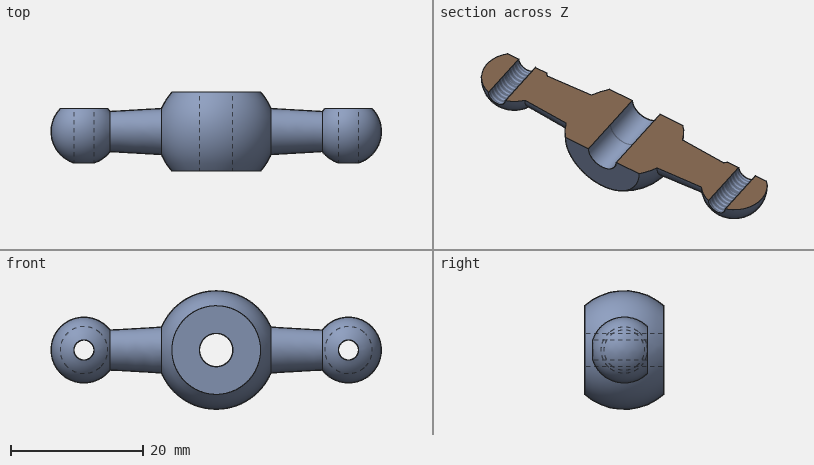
import cadquery as cq
import math

overall_length = 49.9
end_ball_diameter = 10.0
hub_diameter = 17.95
hub_width = 12.0
hub_bore = 5.0
end_bore = 3.0
end_flat_y = 3.5
thread_depth = 0.4
thread_pitch = 0.7
thread_groove_width = 0.5
thread_start_angle = 45.0
neck_radius_at_hub = 3.5
neck_radius_at_ball = 3.05

hub_radius = hub_diameter / 2
ball_radius = end_ball_diameter / 2
ball_center_x = overall_length / 2 - ball_radius
neck_start_x = math.sqrt(hub_radius**2 - neck_radius_at_hub**2)
neck_end_x = ball_center_x - math.sqrt(ball_radius**2 - neck_radius_at_ball**2)
thread_start_y = -math.sqrt(ball_radius**2 - (end_bore / 2) ** 2) + thread_groove_width / 2
thread_length = end_flat_y - thread_start_y - thread_groove_width / 2
neck_overlap = 1.0
neck_slope = (neck_radius_at_ball - neck_radius_at_hub) / (neck_end_x - neck_start_x)


def cross_bore(diameter, x):
    """Round cutter along Y, long enough to pass through the hub."""
    return (
        cq.Workplane("XZ")
        .center(x, 0)
        .circle(diameter / 2)
        .extrude(hub_diameter, both=True)
    )


def hub():
    """Central ball with two flats square to Y."""
    slab = cq.Workplane("XY").box(hub_diameter, hub_width, hub_diameter)
    return cq.Workplane("XZ").sphere(hub_radius).intersect(slab)


def end_ball(side):
    """End ball with one flat facing +Y."""
    x = side * ball_center_x
    ball = cq.Workplane("XZ").sphere(ball_radius).translate((x, 0, 0))
    cap = (
        cq.Workplane("XY")
        .box(end_ball_diameter, end_ball_diameter, end_ball_diameter)
        .translate((x, end_flat_y + ball_radius, 0))
    )
    return ball.cut(cap)


def neck(side):
    """Cone tapering from the hub out to an end ball."""
    inner_x = neck_start_x - neck_overlap
    outer_x = neck_end_x + neck_overlap
    inner_radius = neck_radius_at_hub - neck_slope * neck_overlap
    outer_radius = neck_radius_at_ball + neck_slope * neck_overlap
    return (
        cq.Workplane("XY")
        .moveTo(side * inner_x, 0)
        .lineTo(side * inner_x, inner_radius)
        .lineTo(side * outer_x, outer_radius)
        .lineTo(side * outer_x, 0)
        .close()
        .revolve(360, (0, 0, 0), (1, 0, 0))
    )


def thread_groove(x):
    """Helical V groove around an end bore, advancing toward +Y."""
    bore_radius = end_bore / 2
    overlap = 0.1
    half_width = thread_groove_width / 2 * (1 + overlap / thread_depth)
    helix = cq.Wire.makeHelix(thread_pitch, thread_length, bore_radius)
    groove = (
        cq.Workplane("XZ")
        .moveTo(bore_radius - overlap, -half_width)
        .lineTo(bore_radius + thread_depth, 0)
        .lineTo(bore_radius - overlap, half_width)
        .close()
        .sweep(cq.Workplane(obj=helix), isFrenet=True)
    )
    return (
        groove.rotate((0, 0, 0), (1, 0, 0), -90)
        .rotate((0, 0, 0), (0, 1, 0), -thread_start_angle)
        .translate((x, thread_start_y, 0))
    )


result = hub()
for side in (-1, 1):
    result = result.union(neck(side)).union(end_ball(side))

result = result.cut(cross_bore(hub_bore, 0))
for side in (-1, 1):
    result = result.cut(cross_bore(end_bore, side * ball_center_x))
    result = result.cut(thread_groove(side * ball_center_x))